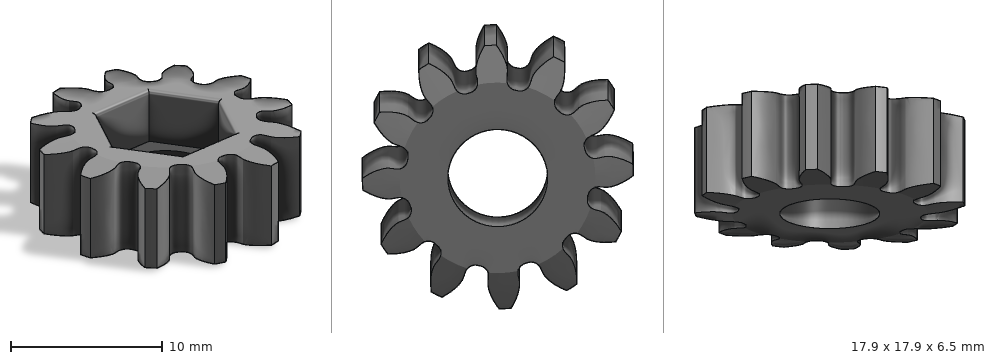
import cadquery as cq
import math

tooth_count = 12
tip_radius = 8.96
pressure_angle = math.radians(20)
module = 2 * tip_radius / (tooth_count + 2)
dedendum = 1.25 * module
pitch_radius = module * tooth_count / 2
base_radius = pitch_radius * math.cos(pressure_angle)
root_radius = pitch_radius - dedendum
root_fillet = 0.68
face_width = 6.5

bevel_start_radius = 6.47
bevel_drop = 0.3

bore_diameter = 6.6
hex_across_flats = 8.28
hex_depth = 3.75
hex_turn = -10.4
hex_lip_radius = 0.3

flank_steps = 8
tooth_pitch = 2 * math.pi / tooth_count


def involute(angle):
    return math.tan(angle) - angle


def polar(radius, angle):
    return (radius * math.cos(angle), radius * math.sin(angle))


base_half_angle = tooth_pitch / 4 + involute(pressure_angle)

fillet_centre_radius = root_radius + root_fillet
fillet_turn = math.asin(root_fillet / fillet_centre_radius)
fillet_top_radius = fillet_centre_radius * math.cos(fillet_turn)
root_half_angle = base_half_angle + fillet_turn


def tooth_half_angle(radius):
    """Half of the angle the tooth spans at a radius on its involute flank."""
    return base_half_angle - involute(math.acos(base_radius / radius))


def flank_points(centre_angle, side):
    """Points on one involute flank, from the base circle to the tip circle."""
    rise = tip_radius - base_radius
    radii = [base_radius + rise * step / flank_steps for step in range(flank_steps + 1)]
    return [polar(r, centre_angle + side * tooth_half_angle(r)) for r in radii]


def fillet_middle(centre_angle, side):
    """Point on a root fillet halfway between its contacts with the root circle and the flank."""
    fillet_direction = centre_angle + side * root_half_angle
    x, y = polar(fillet_centre_radius, fillet_direction)
    fillet_sweep = math.pi / 2 - fillet_turn
    dx, dy = polar(root_fillet, fillet_direction + math.pi + side * fillet_sweep / 2)
    return (x + dx, y + dy)


def gear_outline():
    """Closed outline that walks around the teeth, root to root."""
    outline = cq.Workplane("XY").moveTo(*polar(root_radius, -root_half_angle))
    for tooth in range(tooth_count):
        centre = tooth * tooth_pitch
        rising = flank_points(centre, -1)
        falling = flank_points(centre, 1)[::-1]
        outline = (
            outline
            .threePointArc(fillet_middle(centre, -1), polar(fillet_top_radius, centre - base_half_angle))
            .lineTo(*rising[0])
            .spline(rising[1:], includeCurrent=True)
            .threePointArc(polar(tip_radius, centre), falling[0])
            .spline(falling[1:], includeCurrent=True)
            .lineTo(*polar(fillet_top_radius, centre + base_half_angle))
            .threePointArc(fillet_middle(centre, 1), polar(root_radius, centre + root_half_angle))
            .threePointArc(
                polar(root_radius, centre + tooth_pitch / 2),
                polar(root_radius, centre + tooth_pitch - root_half_angle),
            )
        )
    return outline.close()


def bevelled_envelope():
    """Solid of revolution that trims the tooth ends to a shallow cone."""
    return (
        cq.Workplane("XZ")
        .polyline([
            (0, 0),
            (bevel_start_radius, 0),
            (tip_radius, bevel_drop),
            (tip_radius, face_width - bevel_drop),
            (bevel_start_radius, face_width),
            (0, face_width),
        ])
        .close()
        .revolve(360, (0, 0, 0), (0, 1, 0))
    )


def hexagonal_pocket():
    """Cutter for the pocket that is sunk from the top face."""
    corner_diameter = hex_across_flats / math.cos(math.pi / 6)
    return (
        cq.Workplane("XY")
        .workplane(offset=face_width - hex_depth)
        .transformed(rotate=(0, 0, hex_turn))
        .polygon(6, corner_diameter)
        .extrude(hex_depth)
    )


def round_pocket_lip(body):
    """Round the pocket mouth, whose sides are the only straight edges of the top face."""
    return body.faces(">Z").edges("%LINE").fillet(hex_lip_radius)


bore = cq.Workplane("XY").circle(bore_diameter / 2).extrude(face_width)
gear = gear_outline().extrude(face_width).intersect(bevelled_envelope())
result = round_pocket_lip(gear.cut(hexagonal_pocket()).cut(bore))